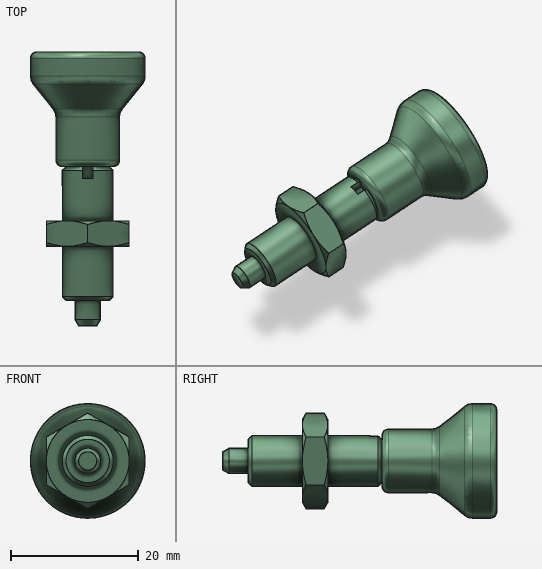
import cadquery as cq
import math

TOTAL_LENGTH = 43.0
KNOB_FACE_Y = TOTAL_LENGTH / 2

HEAD_RADIUS = 9.0
NECK_RADIUS = 5.0
KNOB_LENGTH = 18.0
CONE_START = 4.5
CONE_END = 9.5
KNOB_EDGE_FILLET = 1.0
CONE_FILLET = 2.0

SLEEVE_RADIUS = 4.0
SLEEVE_END = 39.0
SLEEVE_CHAMFER = 0.6

PIN_RADIUS = 2.0
PIN_TIP_LENGTH = 1.0
PIN_TIP_ANGLE = math.radians(30)

NUT_SIDES = 6
NUT_START = 26.5
NUT_THICKNESS = 4.0
NUT_ACROSS_FLATS = 13.0
NUT_CHAMFER_ANGLE = math.radians(30)

NOTCH_WIDTH = 1.7
NOTCH_LENGTH = 1.9


def station(distance):
    """Y coordinate of a place on the axis, given its distance from the knob's flat end."""
    return KNOB_FACE_Y - distance


def revolve_profile(points):
    """Solid of revolution about Y from (radius, distance) points that start and end on the axis."""
    outline = [(radius, station(distance)) for radius, distance in points]
    return cq.Workplane("XY").polyline(outline).close().revolve(360, (0, 0, 0), (0, 1, 0))


def cylinder(radius, start, end):
    """Cylinder on the axis between two distances."""
    return revolve_profile([(0, start), (radius, start), (radius, end), (0, end)])


def circle_edges_at(radius, distance):
    """Selector for the circular edge of a given radius at a given distance."""
    margin = 0.01
    y = station(distance)
    low = (-radius - margin, y - margin, -radius - margin)
    high = (radius + margin, y + margin, radius + margin)
    return cq.selectors.BoxSelector(low, high, boundingbox=True)


def make_knob():
    knob = revolve_profile([
        (0, 0),
        (HEAD_RADIUS, 0),
        (HEAD_RADIUS, CONE_START),
        (NECK_RADIUS, CONE_END),
        (NECK_RADIUS, KNOB_LENGTH),
        (0, KNOB_LENGTH),
    ])
    for radius, distance, fillet in (
        (HEAD_RADIUS, 0, KNOB_EDGE_FILLET),
        (HEAD_RADIUS, CONE_START, CONE_FILLET),
        (NECK_RADIUS, CONE_END, CONE_FILLET),
        (NECK_RADIUS, KNOB_LENGTH, KNOB_EDGE_FILLET),
    ):
        knob = knob.edges(circle_edges_at(radius, distance)).fillet(fillet)
    return knob


def make_sleeve():
    end_radius = SLEEVE_RADIUS - SLEEVE_CHAMFER
    return revolve_profile([
        (0, KNOB_LENGTH),
        (end_radius, KNOB_LENGTH),
        (SLEEVE_RADIUS, KNOB_LENGTH + SLEEVE_CHAMFER),
        (SLEEVE_RADIUS, SLEEVE_END - SLEEVE_CHAMFER),
        (end_radius, SLEEVE_END),
        (0, SLEEVE_END),
    ])


def make_pin():
    tip_radius = PIN_RADIUS - PIN_TIP_LENGTH * math.tan(PIN_TIP_ANGLE)
    return revolve_profile([
        (0, SLEEVE_END),
        (PIN_RADIUS, SLEEVE_END),
        (PIN_RADIUS, TOTAL_LENGTH - PIN_TIP_LENGTH),
        (tip_radius, TOTAL_LENGTH),
        (0, TOTAL_LENGTH),
    ])


def make_nut():
    """Hexagon prism whose corners are turned off by a cone at each end."""
    nut_end = NUT_START + NUT_THICKNESS
    face_radius = NUT_ACROSS_FLATS / 2
    corner_radius = face_radius / math.cos(math.pi / NUT_SIDES)
    chamfer_length = (corner_radius - face_radius) * math.tan(NUT_CHAMFER_ANGLE)
    hexagon = (
        cq.Workplane("XZ", origin=(0, station(NUT_START), 0))
        .transformed(rotate=(0, 0, 90))
        .polygon(NUT_SIDES, 2 * corner_radius)
        .extrude(NUT_THICKNESS)
    )
    turned_blank = revolve_profile([
        (0, NUT_START),
        (face_radius, NUT_START),
        (corner_radius, NUT_START + chamfer_length),
        (corner_radius, nut_end - chamfer_length),
        (face_radius, nut_end),
        (0, nut_end),
    ])
    return hexagon.intersect(turned_blank)


def make_notch_cutter():
    notch_end = KNOB_LENGTH + NOTCH_LENGTH
    block = (
        cq.Workplane("XY")
        .box(NOTCH_WIDTH, NOTCH_LENGTH, SLEEVE_RADIUS, centered=(True, False, False))
        .translate((0, station(notch_end), 0))
    )
    return block.cut(cylinder(PIN_RADIUS, KNOB_LENGTH, notch_end))


sleeve = make_sleeve().cut(make_notch_cutter())
result = make_knob().union(sleeve).union(make_pin()).union(make_nut())